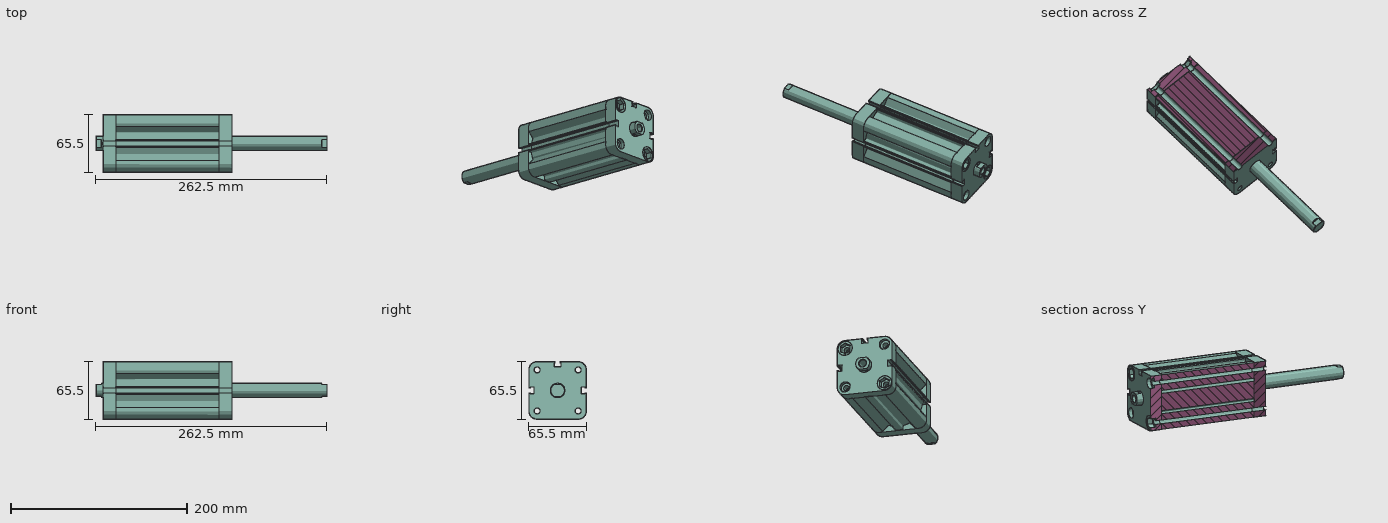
import cadquery as cq
import math


SIZE = 65.5
HALF = SIZE / 2
BOLT_OFFSET = 23.3
CORNER_RADIUS = HALF - BOLT_OFFSET
BOLT_HOLE_DIA = 6.5

FRONT_CAP_LENGTH = 14.5
TUBE_LENGTH = 117.0
REAR_CAP_LENGTH = 15.0
ROD_LENGTH = 262.5
ROD_FRONT_STICKOUT = 8.0
TUBE_START = FRONT_CAP_LENGTH
REAR_CAP_START = TUBE_START + TUBE_LENGTH

SLOT_ANGLES = (-90, 0, 90)
SLOT_MOUTH_WIDTH = 5.4
SLOT_WIDTH = 7.3
SLOT_LIP = 1.7
SLOT_DEPTH = 5.7

BARREL_RADIUS = 28.0
LOBE_OVERHANG = 3.9
LOBE_FLANK_ANGLE = 45.0
LOBE_FOOT_FILLET = 0.8
RAIL_WIDTH = 9.5
RAIL_TOP_GAP = 0.6
RAIL_TOP_FILLET = 0.9
RAIL_ROOT_FILLET = 1.2

ROUND_RECESS_DIA = 12.0
ROUND_RECESS_DEPTH = 4.7
HEX_ACROSS_FLATS = 11.2
HEX_DEPTH = 7.0
HEX_RIM_DIA = 16.8
HEX_RIM_DEPTH = 0.5

ROD_DIA = 16.5
FLAT_ACROSS = 13.7
FLAT_LENGTH = 5.8
SHOULDER_ANGLE = 60.0
ROD_REAR_CHAMFER = 0.5
ROD_HOLE_DIA = 8.5
ROD_HOLE_CHAMFER = 0.5
ROD_HOLE_DEPTH = 20.0
DRILL_TIP_ANGLE = 118.0


def section_plane(x):
    """Sketch plane facing +X, whose local x is Y and local y is Z."""
    return cq.Workplane("YZ", origin=(x, 0, 0))


def bolt_points():
    """Bolt hole centers at the four corners of the section."""
    return [(y, z) for y in (-BOLT_OFFSET, BOLT_OFFSET) for z in (-BOLT_OFFSET, BOLT_OFFSET)]


def cut_t_slots(body, x, length):
    """Cut the T-slots through a body that starts at x."""
    mouth = section_plane(x).center(0, HALF).rect(SLOT_MOUTH_WIDTH, 2 * SLOT_LIP).extrude(length)
    groove_height = SLOT_DEPTH - SLOT_LIP
    groove_center = HALF - SLOT_LIP - groove_height / 2
    groove = section_plane(x).center(0, groove_center).rect(SLOT_WIDTH, groove_height).extrude(length)
    slot = mouth.union(groove)
    for angle in SLOT_ANGLES:
        body = body.cut(slot.rotate((0, 0, 0), (1, 0, 0), angle))
    return body


def cut_through_holes(body, x, length):
    """Cut the four bolt holes and the rod hole through a body that starts at x."""
    bolts = section_plane(x).pushPoints(bolt_points()).circle(BOLT_HOLE_DIA / 2).extrude(length)
    rod_hole = section_plane(x).circle(ROD_DIA / 2).extrude(length)
    return body.cut(bolts).cut(rod_hole)


def make_cap(x, length):
    """Square end cap with rounded corners, starting at x."""
    cap = section_plane(x).rect(SIZE, SIZE).extrude(length).edges("|X").fillet(CORNER_RADIUS)
    return cut_through_holes(cut_t_slots(cap, x, length), x, length)


def cut_bolt_recesses(cap):
    """Round recesses on one diagonal, rimmed hexagon recesses on the other."""
    face = section_plane(0)
    round_points = [(-BOLT_OFFSET, BOLT_OFFSET), (BOLT_OFFSET, -BOLT_OFFSET)]
    hex_points = [(BOLT_OFFSET, BOLT_OFFSET), (-BOLT_OFFSET, -BOLT_OFFSET)]
    rounds = face.pushPoints(round_points).circle(ROUND_RECESS_DIA / 2).extrude(ROUND_RECESS_DEPTH)
    rims = face.pushPoints(hex_points).circle(HEX_RIM_DIA / 2).extrude(HEX_RIM_DEPTH)
    cap = cap.cut(rounds).cut(rims)
    corner_radius = HEX_ACROSS_FLATS / 2 / math.cos(math.pi / 6)
    corner_angles = [math.radians(30 + 60 * i) for i in range(6)]
    for y, z in hex_points:
        corners = [(y + corner_radius * math.cos(a), z + corner_radius * math.sin(a)) for a in corner_angles]
        cap = cap.cut(face.polyline(corners).close().extrude(HEX_DEPTH))
    return cap


def make_lobe():
    """Corner lobe: an arc round the bolt hole, running into a straight flank on each side."""
    edge_y = BOLT_OFFSET - LOBE_OVERHANG
    edge_z = BOLT_OFFSET + math.sqrt(CORNER_RADIUS**2 - LOBE_OVERHANG**2)
    tip = BOLT_OFFSET + CORNER_RADIUS / math.sqrt(2)
    flank_drop = edge_z - BARREL_RADIUS / math.sqrt(2)
    foot_y = edge_y - flank_drop * math.tan(math.radians(90 - LOBE_FLANK_ANGLE))
    foot_z = edge_z - flank_drop
    return (
        section_plane(TUBE_START)
        .moveTo(edge_y, edge_z)
        .threePointArc((tip, tip), (edge_z, edge_y))
        .lineTo(foot_z, foot_y)
        .lineTo(0, 0)
        .lineTo(foot_y, foot_z)
        .close()
        .extrude(TUBE_LENGTH)
    )


def make_rail():
    """Half of a slot rail on the barrel, with a rounded top edge and a filleted root."""
    half_width = RAIL_WIDTH / 2
    top = HALF - RAIL_TOP_GAP
    fillet_center_y = half_width + RAIL_ROOT_FILLET
    center_distance = BARREL_RADIUS + RAIL_ROOT_FILLET
    fillet_center_z = math.sqrt(center_distance**2 - fillet_center_y**2)
    to_barrel = BARREL_RADIUS / center_distance
    root = (fillet_center_y * to_barrel, fillet_center_z * to_barrel)
    mid_angle = (math.pi + math.atan2(fillet_center_z, fillet_center_y) + math.pi) / 2
    root_middle = (
        fillet_center_y + RAIL_ROOT_FILLET * math.cos(mid_angle),
        fillet_center_z + RAIL_ROOT_FILLET * math.sin(mid_angle),
    )
    round_offset = RAIL_TOP_FILLET * (1 - math.sqrt(0.5))
    return (
        section_plane(TUBE_START)
        .moveTo(0, top)
        .lineTo(half_width - RAIL_TOP_FILLET, top)
        .threePointArc((half_width - round_offset, top - round_offset), (half_width, top - RAIL_TOP_FILLET))
        .lineTo(half_width, fillet_center_z)
        .threePointArc(root_middle, root)
        .lineTo(0, 0)
        .close()
        .extrude(TUBE_LENGTH)
    )


def is_lobe_foot(edge):
    """True for the inner corner where a lobe flank meets the barrel."""
    center = edge.Center()
    away_from_rails = min(abs(center.y), abs(center.z)) > RAIL_WIDTH
    on_barrel = abs(math.hypot(center.y, center.z) - BARREL_RADIUS) < LOBE_FOOT_FILLET / 10
    return away_from_rails and on_barrel


def make_tube():
    """Profile tube between the caps."""
    tube = section_plane(TUBE_START).circle(BARREL_RADIUS).extrude(TUBE_LENGTH)
    lobe = make_lobe()
    half_rail = make_rail()
    rail = half_rail.union(half_rail.mirror("XZ"))
    for angle in (0, 90, 180, 270):
        tube = tube.union(lobe.rotate((0, 0, 0), (1, 0, 0), angle))
        tube = tube.union(rail.rotate((0, 0, 0), (1, 0, 0), angle))
    tube = tube.edges("|X").filter(is_lobe_foot).fillet(LOBE_FOOT_FILLET)
    return cut_through_holes(cut_t_slots(tube, TUBE_START, TUBE_LENGTH), TUBE_START, TUBE_LENGTH)


def make_rod():
    """Piston rod, running right through both caps and the tube."""
    front = -ROD_FRONT_STICKOUT
    rear = front + ROD_LENGTH
    rod = section_plane(front).circle(ROD_DIA / 2).extrude(ROD_LENGTH)
    rod = rod.faces(">X").chamfer(ROD_REAR_CHAMFER)

    flat = FLAT_ACROSS / 2
    clear = ROD_DIA
    run_out = (clear - flat) / math.tan(math.radians(SHOULDER_ANGLE))
    for end, inward in ((front, 1), (rear, -1)):
        for side in (1, -1):
            flat_end = end + inward * FLAT_LENGTH
            cutter = (
                cq.Workplane("XZ")
                .moveTo(end, side * flat)
                .lineTo(flat_end, side * flat)
                .lineTo(flat_end + inward * run_out, side * clear)
                .lineTo(end, side * clear)
                .close()
                .extrude(ROD_DIA, both=True)
            )
            rod = rod.cut(cutter)

    hole_radius = ROD_HOLE_DIA / 2
    tip_length = hole_radius / math.tan(math.radians(DRILL_TIP_ANGLE / 2))
    hole = (
        cq.Workplane("XY")
        .moveTo(front, 0)
        .lineTo(front, hole_radius + ROD_HOLE_CHAMFER)
        .lineTo(front + ROD_HOLE_CHAMFER, hole_radius)
        .lineTo(front + ROD_HOLE_DEPTH, hole_radius)
        .lineTo(front + ROD_HOLE_DEPTH + tip_length, 0)
        .close()
        .revolve(360, (0, 0, 0), (1, 0, 0))
    )
    return rod.cut(hole)


front_cap = cut_bolt_recesses(make_cap(0, FRONT_CAP_LENGTH))
tube = make_tube()
rear_cap = make_cap(REAR_CAP_START, REAR_CAP_LENGTH)
rod = make_rod()

result = cq.Compound.makeCompound([front_cap.val(), tube.val(), rear_cap.val(), rod.val()])